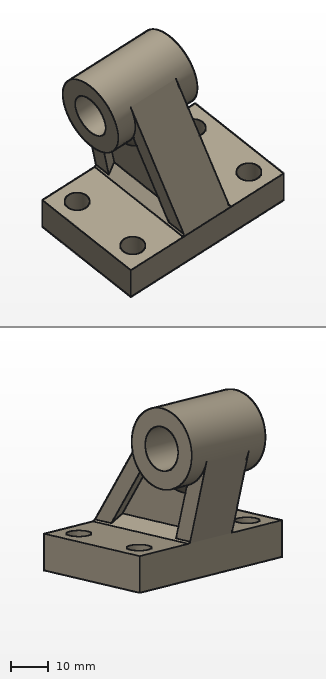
import cadquery as cq
import math

base_length = 35.0
base_width = 54.0
base_height = 10.0
mount_hole_diameter = 6.6
mount_hole_margin = 6.5

boss_radius = 11.0
boss_length = 28.0
bore_diameter = 12.0
total_height = 47.0
boss_overhang = 6.5

rib_width = 16.0
rib_thickness = 5.0
web_thickness = 11.0
base_bevel = 3.0
boss_bevel = 2.5

base_left = -base_length / 2
base_right = base_length / 2
boss_x = base_left - boss_overhang + boss_radius
boss_z = total_height - boss_radius
web_half = web_thickness / 2


def prism_along_y(points, width):
    """Extrude a closed XZ outline symmetrically about Y = 0."""
    return cq.Workplane("XZ").polyline(points).close().extrude(width / 2, both=True)


def tangent_angle(corner_x, side):
    """Direction from the boss axis to where a line from a base corner touches the boss.

    side is +1 for the corner on the +X side and -1 for the other.
    """
    run = corner_x - boss_x
    rise = base_height - boss_z
    to_corner = math.atan2(rise, run)
    return to_corner + side * math.acos(boss_radius / math.hypot(run, rise))


def boss_point(radius, angle):
    """Point in the XZ plane at a polar position about the boss axis."""
    return (boss_x + radius * math.cos(angle), boss_z + radius * math.sin(angle))


def make_base():
    holes_x = base_length - 2 * mount_hole_margin
    holes_y = base_width - 2 * mount_hole_margin
    plate = cq.Workplane("XY").box(base_length, base_width, base_height, centered=(True, True, False))
    hole_centres = plate.faces(">Z").workplane().rect(holes_x, holes_y, forConstruction=True).vertices()
    return hole_centres.hole(mount_hole_diameter)


def make_support_envelope(width):
    """Full support outline, from the base corners to the tangent points on the boss."""
    outline = [
        (base_left, base_height),
        (base_right, base_height),
        boss_point(boss_radius, tangent_angle(base_right, 1)),
        boss_point(boss_radius, tangent_angle(base_left, -1)),
    ]
    return prism_along_y(outline, width)


def make_rib(corner_x, side):
    """Sloping rib whose outer face is tangent to the boss and meets a base corner."""
    angle = tangent_angle(corner_x, side)
    foot_length = rib_thickness / abs(math.cos(angle))
    outline = [
        (corner_x, base_height),
        boss_point(boss_radius, angle),
        boss_point(boss_radius - rib_thickness, angle),
        (corner_x - side * foot_length, base_height),
    ]
    return prism_along_y(outline, rib_width)


def make_base_bevel():
    """45 degree bevels joining both sides of the web to the base."""
    foot_half = web_half + base_bevel
    section = [
        (-foot_half, base_height),
        (foot_half, base_height),
        (web_half, base_height + base_bevel),
        (-web_half, base_height + base_bevel),
    ]
    return cq.Workplane("YZ").polyline(section).close().extrude(base_length / 2, both=True)


def make_boss_bevel():
    """Conical bevels joining both sides of the web to the boss."""
    outer_half = web_half + boss_bevel
    web_radius = boss_radius + boss_bevel
    section = [
        (0, -outer_half),
        (boss_radius, -outer_half),
        (web_radius, -web_half),
        (web_radius, web_half),
        (boss_radius, outer_half),
        (0, outer_half),
    ]
    cone = cq.Workplane("XY").polyline(section).close().revolve(360, (0, 0, 0), (0, 1, 0))
    return cone.translate((boss_x, 0, boss_z))


def make_boss_cylinder(radius):
    front_end = cq.Workplane("XZ", origin=(boss_x, -boss_length / 2, boss_z))
    return front_end.circle(radius).extrude(-boss_length)


bevels = make_base_bevel().union(make_boss_bevel()).intersect(make_support_envelope(base_width))

support = (
    make_support_envelope(web_thickness)
    .union(make_rib(base_left, -1))
    .union(make_rib(base_right, 1))
    .union(bevels)
)

result = (
    make_base()
    .union(support)
    .union(make_boss_cylinder(boss_radius))
    .cut(make_boss_cylinder(bore_diameter / 2))
)